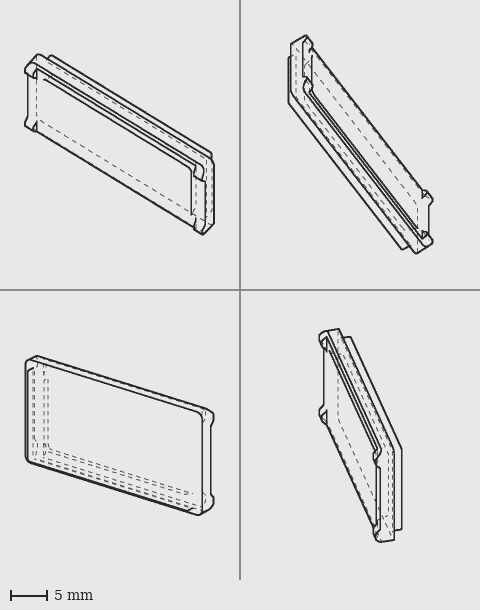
import cadquery as cq
import math

LENGTH = 30.7
HEIGHT = 15.6
PLUG_DEPTH = 1.5
FLANGE_THICKNESS = 2.0
FOOT_HEIGHT = 0.65

CORNER_RADIUS = 1.0
END_DRAFT = 1.0
EDGE_BEVEL = 1.0

FOOT_WIDTH = 1.62
FOOT_DRAFT = 12.0
FOOT_SPAN = 2.65
FOOT_ROUNDING = 0.5

PLUG_LENGTH = 27.85
PLUG_HEIGHT = 13.8
PLUG_ROUNDING = 0.3
PLUG_ROOT_FILLET = 0.2

POCKET_LENGTH = 25.5
POCKET_HEIGHT = 11.45
POCKET_DEPTH = FLANGE_THICKNESS
POCKET_DRAFT = 10.0
POCKET_ROUNDING = 0.6

FACE_Y = -FLANGE_THICKNESS
FOOT_Y = FACE_Y - FOOT_HEIGHT

PICK_MARGIN = 0.05


def block(length, height, y_start, y_end):
    """Box centred on X and Z that spans y_start to y_end."""
    return (
        cq.Workplane("XY")
        .box(length, y_end - y_start, height)
        .translate((0, (y_start + y_end) / 2, 0))
    )


def edges_at_level(body, length, height, y):
    """Edges lying at level y inside a centred length by height window."""
    half_length = length / 2 + PICK_MARGIN
    half_height = height / 2 + PICK_MARGIN
    window = cq.selectors.BoxSelector(
        (-half_length, y - PICK_MARGIN, -half_height),
        (half_length, y + PICK_MARGIN, half_height),
        boundingbox=True,
    )
    return body.edges(window)


def trapezoid(back_width, front_width, y_back, y_front):
    """Full-height prism along Z whose width changes evenly from y_back to y_front."""
    return (
        cq.Workplane("XY")
        .polyline([
            (-back_width / 2, y_back),
            (back_width / 2, y_back),
            (front_width / 2, y_front),
            (-front_width / 2, y_front),
        ])
        .close()
        .extrude(HEIGHT / 2, both=True)
    )


def outline():
    """Envelope with rounded corners and ends that draft inwards towards the front."""
    front_length = LENGTH + 2 * FOOT_Y * math.tan(math.radians(END_DRAFT))
    envelope = trapezoid(LENGTH, front_length, 0, FOOT_Y)
    return envelope.faces(">Z or <Z").edges("not |X").fillet(CORNER_RADIUS)


def section_bar():
    """Side profile with full-length foot ridges, run along X and rounded at the corners."""
    top = HEIGHT / 2
    ridge_inner = top - FOOT_SPAN
    profile = [
        (0, top),
        (FOOT_Y + EDGE_BEVEL, top),
        (FOOT_Y, top - EDGE_BEVEL),
        (FOOT_Y, ridge_inner + FOOT_HEIGHT),
        (FACE_Y, ridge_inner),
    ]
    mirrored = [(y, -z) for y, z in reversed(profile)]
    bar = (
        cq.Workplane("YZ")
        .polyline(profile + mirrored)
        .close()
        .extrude(LENGTH / 2, both=True)
    )
    bar = bar.faces("<Y").edges("|X").fillet(FOOT_ROUNDING)
    bar = edges_at_level(bar, LENGTH, 2 * ridge_inner, FACE_Y).edges("|X").fillet(FOOT_ROUNDING)
    return bar.intersect(outline())


def ridge_gap():
    """Drafted cutter that removes the ridges between the left and right feet."""
    face_gap = LENGTH - 2 * FOOT_WIDTH
    tip_gap = face_gap + 2 * FOOT_HEIGHT * math.tan(math.radians(FOOT_DRAFT))
    return trapezoid(face_gap, tip_gap, FACE_Y, FOOT_Y)


def plug():
    """Rounded pad on the back of the flange."""
    pad = block(PLUG_LENGTH, PLUG_HEIGHT, 0, PLUG_DEPTH)
    return pad.edges("not <Y").fillet(PLUG_ROUNDING)


def pocket():
    """Cutter for the pocket: drafted walls with equal fillets in the corners and on the floor."""
    cutter = (
        cq.Workplane("XZ", origin=(0, FACE_Y, 0))
        .rect(POCKET_LENGTH, POCKET_HEIGHT)
        .extrude(-POCKET_DEPTH, taper=POCKET_DRAFT)
    )
    return cutter.edges("not <Y").fillet(POCKET_ROUNDING)


body = section_bar().cut(ridge_gap()).union(plug())
body = edges_at_level(body, PLUG_LENGTH, PLUG_HEIGHT, 0).fillet(PLUG_ROOT_FILLET)
body = body.cut(pocket())
result = edges_at_level(body, POCKET_LENGTH, POCKET_HEIGHT, FACE_Y).fillet(POCKET_ROUNDING)